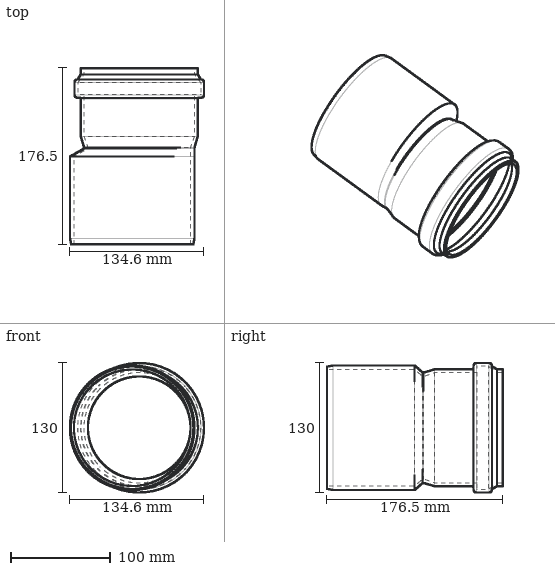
import cadquery as cq

total_length = 176.5
axis_offset = 7.0

spigot_diameter = 125.1
spigot_tip_diameter = 122.7
spigot_bore = 116.8
neck_diameter = 110.8
neck_bore = 102.7
socket_diameter = 117.5
socket_bore = 110.7
bead_diameter = 130.0
bead_bore = 123.4

tip_chamfer_end = 6.0
spigot_end = 87.9
neck_start = 96.0
neck_end = 96.9
socket_start = 108.0
bead_start = 146.8
bead_end = 165.4
bead_shoulder_end = 170.3

bead_round = 3.0
bead_root_round = 1.0
shoulder_diameter = 123.5
rim_chamfer = 0.5

wall = (socket_diameter - socket_bore) / 2


def eccentric_cone(spigot_size, neck_size):
    """Solid joining a spigot circle to the shifted neck circle."""
    spigot_circle = cq.Wire.makeCircle(spigot_size / 2, cq.Vector(0, spigot_end, 0), cq.Vector(0, 1, 0))
    neck_circle = cq.Wire.makeCircle(
        neck_size / 2, cq.Vector(axis_offset, neck_start, 0), cq.Vector(0, 1, 0)
    )
    return cq.Workplane(obj=cq.Solid.makeLoft([spigot_circle, neck_circle], True))


def revolve_about_y(profile, x_shift):
    """Revolve a (radius, Y) half profile and move its axis to x_shift."""
    return profile.close().revolve(360, (0, 0, 0), (0, 1, 0)).translate((x_shift, 0, 0))


def spigot_outside():
    profile = (
        cq.Workplane("XY")
        .lineTo(spigot_tip_diameter / 2, 0)
        .lineTo(spigot_diameter / 2, tip_chamfer_end)
        .lineTo(spigot_diameter / 2, spigot_end)
        .lineTo(0, spigot_end)
    )
    return revolve_about_y(profile, 0)


def spigot_inside():
    return cq.Workplane("XZ").circle(spigot_bore / 2).extrude(-spigot_end)


def socket_outside():
    radius = socket_diameter / 2
    bead_radius = bead_diameter / 2
    profile = (
        cq.Workplane("XY")
        .moveTo(0, neck_start)
        .lineTo(neck_diameter / 2, neck_start)
        .lineTo(neck_diameter / 2, neck_end)
        .lineTo(radius, socket_start)
        .lineTo(radius, bead_start - bead_root_round)
        .radiusArc((radius + bead_root_round, bead_start), bead_root_round)
        .lineTo(bead_radius - bead_round, bead_start)
        .radiusArc((bead_radius, bead_start + bead_round), -bead_round)
        .lineTo(bead_radius, bead_end - bead_round)
        .radiusArc((bead_radius - bead_round, bead_end), -bead_round)
        .lineTo(shoulder_diameter / 2, bead_end)
        .lineTo(radius, bead_shoulder_end)
        .lineTo(radius, total_length - rim_chamfer)
        .lineTo(radius - rim_chamfer, total_length)
        .lineTo(0, total_length)
    )
    return revolve_about_y(profile, axis_offset)


def socket_inside():
    """Bore with a seal groove behind the bead."""
    radius = socket_bore / 2
    groove_radius = bead_bore / 2
    profile = (
        cq.Workplane("XY")
        .moveTo(0, neck_start)
        .lineTo(neck_bore / 2, neck_start)
        .lineTo(neck_bore / 2, neck_end)
        .lineTo(radius, socket_start)
        .lineTo(radius, bead_start + wall)
        .lineTo(groove_radius, bead_start + wall)
        .lineTo(groove_radius, bead_end - wall)
        .lineTo(radius, bead_shoulder_end)
        .lineTo(radius, total_length)
        .lineTo(0, total_length)
    )
    return revolve_about_y(profile, axis_offset)


outside = spigot_outside().union(eccentric_cone(spigot_diameter, neck_diameter)).union(socket_outside())
result = (
    outside.cut(spigot_inside())
    .cut(eccentric_cone(spigot_bore, neck_bore))
    .cut(socket_inside())
)